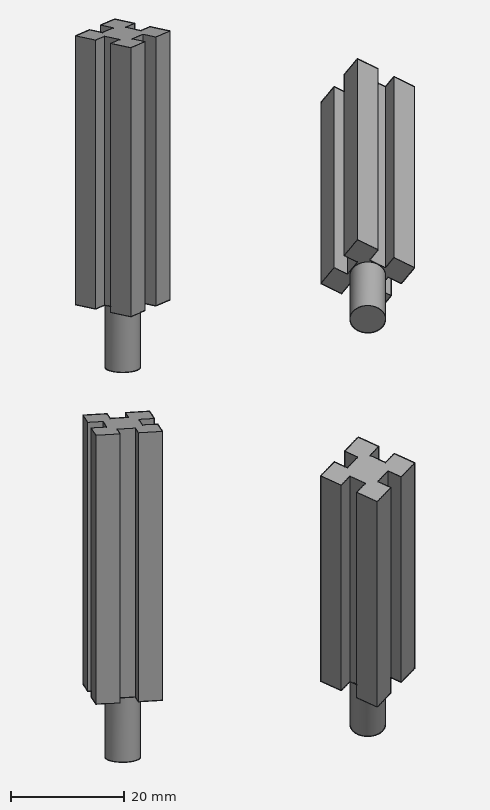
import cadquery as cq

total_height = 62.0
body_width = 12.0
pin_length = 12.0
body_height = total_height - pin_length

slot_width = 3.3
slot_depth = 2.8
pin_diameter = 6.3


def slot_cutter(angle):
    """Full-height groove through the middle of one side of the body."""
    slot_center = (body_width - slot_depth) / 2
    return (
        cq.Workplane("XY")
        .center(slot_center, 0)
        .rect(slot_depth, slot_width)
        .extrude(body_height)
        .rotate((0, 0, 0), (0, 0, 1), angle)
    )


body = cq.Workplane("XY").rect(body_width, body_width).extrude(body_height)
for angle in (0, 90, 180, 270):
    body = body.cut(slot_cutter(angle))

pin = cq.Workplane("XY").circle(pin_diameter / 2).extrude(-pin_length)

result = body.union(pin)